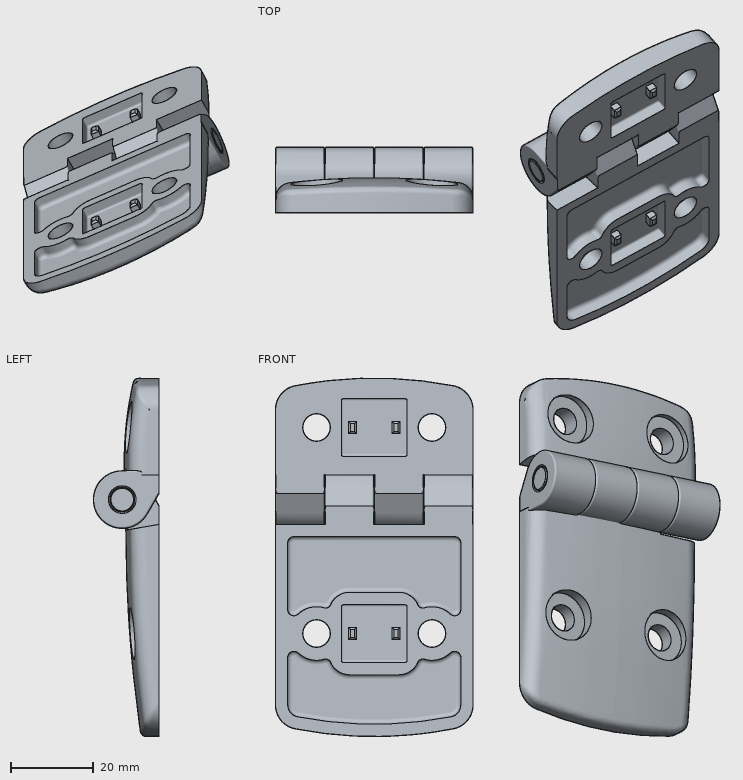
import cadquery as cq
import math

width = 48.0
half_width = width / 2
barrel_radius = 7.0
axis_height = 8.95
knuckle_count = 4
knuckle_pitch = width / knuckle_count
side_clearance = 0.1
knuckle_edge_round = 0.4
knuckle_face_end = 1.5
notch_start = 6.0
notch_slope = math.radians(10)

pin_diameter = 6.0
pin_chamfer = 0.25
bore_chamfer = 0.35

upper_length = 29.5
lower_length = 57.5
upper_hole_distance = 17.5
lower_hole_distance = 32.5
end_radius = 100.0
corner_radius = 6.0
crown_radius = 180.0
side_round = 4.0
end_round = 1.5
upper_back = dict(peak=8.5, start=9.0, radius=87.0)
lower_back = dict(peak=8.1, start=7.0, radius=345.0)
cut_depth = 20.0
blank_depth = 14.0
blank_angle = 60.0

hole_spacing = 28.0
hole_diameter = 6.6
counterbore_diameter = 12.5
upper_seat_height = 5.0
lower_seat_height = 4.0

socket_width = 16.0
socket_height = 14.0
socket_depth = 2.8
socket_round = 0.55
rib_spacing = 10.5
rib_width = 2.0
rib_height = 3.0
rib_rise = 2.2
rib_chamfer = 0.5

rim = 3.0
hollow_depth = 3.0
hollow_floor_round = 1.1
hollow_corner_round = 1.5
cusp_round = 1.3
island_corner = 5.0
screw_boss_radius = 6.5


def front_plane(y=0.0):
    """Workplane facing -Y: local x is X, local y is Z, and extrusion by a negative value goes to +Y."""
    return cq.Workplane("XZ", origin=(0, y, 0))


def bowed_outline(half, start, crest, bow, corner):
    """Plan outline with straight sides, a square start and a bowed end with rounded corners."""
    bow_center = crest - bow
    corner_x = half - corner
    corner_z = bow_center + math.sqrt((bow - corner) ** 2 - corner_x ** 2)
    lean = math.atan2(corner_x, corner_z - bow_center)
    end_x = bow * math.sin(lean)
    end_z = bow_center + bow * math.cos(lean)
    turn = (lean + math.pi / 2) / 2
    mid_x = corner_x + corner * math.sin(turn)
    mid_z = corner_z + corner * math.cos(turn)
    return (
        front_plane()
        .moveTo(-half, start)
        .lineTo(half, start)
        .lineTo(half, corner_z)
        .threePointArc((mid_x, mid_z), (end_x, end_z))
        .threePointArc((0, crest), (-end_x, end_z))
        .threePointArc((-mid_x, mid_z), (-half, corner_z))
        .close()
    )


def crowned_blank(back):
    """Bar with a crowned, edge-rounded back, swept along the arc of the leaf's back."""
    peak = back["peak"]
    crown_center = peak - crown_radius
    round_x = half_width - side_round
    round_y = crown_center + math.sqrt((crown_radius - side_round) ** 2 - round_x ** 2)
    lean = math.atan2(round_x, round_y - crown_center)
    crown_x = crown_radius * math.sin(lean)
    crown_y = crown_center + crown_radius * math.cos(lean)
    turn = (lean + math.pi / 2) / 2
    mid_x = round_x + side_round * math.sin(turn)
    mid_y = round_y + side_round * math.cos(turn)
    sweep_center = peak - back["radius"]
    axis_start = (0, sweep_center, back["start"])
    axis_end = (1, sweep_center, back["start"])
    return (
        cq.Workplane("XY", origin=(0, 0, back["start"]))
        .moveTo(-half_width, peak - blank_depth)
        .lineTo(half_width, peak - blank_depth)
        .lineTo(half_width, round_y)
        .threePointArc((mid_x, mid_y), (crown_x, crown_y))
        .threePointArc((0, peak), (-crown_x, crown_y))
        .threePointArc((-mid_x, mid_y), (-half_width, round_y))
        .close()
        .revolve(blank_angle, (0, sweep_center, 0), (1, sweep_center, 0))
        .rotate(axis_start, axis_end, -blank_angle / 2)
    )


def leaf_plate(length, back):
    """Leaf without knuckles: bowed outline, crowned back and a rounded back edge at the end."""
    plate = (
        bowed_outline(half_width, notch_start, length, end_radius, corner_radius)
        .extrude(-cut_depth)
        .intersect(crowned_blank(back))
    )
    bow_start = length - corner_radius
    end_zone = cq.selectors.BoxSelector(
        (-half_width, end_round, bow_start), (half_width, cut_depth, length)
    )
    return plate.edges(end_zone).edges("not #Z").fillet(end_round)


def column_center(column):
    return -half_width + (column + 0.5) * knuckle_pitch


def knuckle(column):
    """Barrel segment joined to the leaf by a flat tangent to the barrel."""
    reach = math.hypot(axis_height, knuckle_face_end)
    tangent_angle = math.atan2(knuckle_face_end, axis_height) - math.acos(barrel_radius / reach)
    tangent_y = axis_height - barrel_radius * math.cos(tangent_angle)
    tangent_z = barrel_radius * math.sin(tangent_angle)
    length = knuckle_pitch - 2 * side_clearance
    start = column_center(column) - length / 2
    segment = (
        cq.Workplane("YZ", origin=(start, 0, 0))
        .moveTo(0, barrel_radius)
        .lineTo(0, knuckle_face_end)
        .lineTo(tangent_y, tangent_z)
        .threePointArc((axis_height + barrel_radius, 0), (axis_height, barrel_radius))
        .close()
        .extrude(length)
    )
    return segment.faces("<X or >X").edges("%CIRCLE").fillet(knuckle_edge_round)


def notch(column):
    """Clearance for the other leaf's knuckle, with a slightly sloped wall."""
    left = column_center(column) - knuckle_pitch / 2 - side_clearance
    rise = cut_depth * math.tan(notch_slope)
    return (
        cq.Workplane("YZ", origin=(left, 0, 0))
        .moveTo(0, 0)
        .lineTo(0, notch_start)
        .lineTo(cut_depth, notch_start + rise)
        .lineTo(cut_depth, 0)
        .close()
        .extrude(knuckle_pitch + 2 * side_clearance)
    )


def pin_bore():
    """Bore along the hinge axis, chamfered at both outer ends of the barrel."""
    mouth = pin_diameter / 2 + bore_chamfer
    bore = cq.Workplane("YZ", origin=(-half_width, axis_height, 0)).circle(pin_diameter / 2).extrude(width)
    for side in (-1, 1):
        cone = cq.Solid.makeCone(
            mouth,
            mouth - 2 * bore_chamfer,
            2 * bore_chamfer,
            cq.Vector(side * (half_width - side_clearance), axis_height, 0),
            cq.Vector(-side, 0, 0),
        )
        bore = bore.union(cq.Workplane(obj=cone))
    return bore


def screw_holes(distance, seat_height):
    """Pair of counterbored through holes, with the counterbores opening on the back."""
    places = [(-hole_spacing / 2, distance), (hole_spacing / 2, distance)]
    holes = front_plane().pushPoints(places).circle(hole_diameter / 2).extrude(-cut_depth)
    counterbores = (
        front_plane(seat_height).pushPoints(places).circle(counterbore_diameter / 2).extrude(-cut_depth)
    )
    return holes.union(counterbores)


def socket(distance):
    """Square socket in the mounting face, less the two ribs that stand on its floor."""
    pocket = (
        front_plane()
        .center(0, distance)
        .rect(socket_width, socket_height)
        .extrude(-socket_depth)
        .edges("|Y or >Y")
        .fillet(socket_round)
    )
    ribs = (
        front_plane(socket_depth - rib_rise)
        .center(0, distance)
        .rarray(rib_spacing, 1, 2, 1)
        .rect(rib_width, rib_height)
        .extrude(-rib_rise)
        .faces("<Y")
        .chamfer(rib_chamfer)
    )
    return pocket.cut(ribs)


def hollow_island(distance):
    """Full-depth land that carries the socket and the screw holes across the hollow."""
    boss_x = hole_spacing / 2
    wall_x = half_width - rim
    corner_x = wall_x - hollow_corner_round
    corner_z = math.sqrt((screw_boss_radius + hollow_corner_round) ** 2 - (corner_x - boss_x) ** 2)
    island = (
        front_plane()
        .rect(socket_width + 2 * rim, socket_height + 2 * rim)
        .extrude(-hollow_depth)
        .edges("|Y")
        .fillet(island_corner)
    )
    bosses = (
        front_plane()
        .pushPoints([(-boss_x, 0), (boss_x, 0)])
        .circle(screw_boss_radius)
        .extrude(-hollow_depth)
    )
    island = island.union(bosses)
    cusp_zone_x = boss_x - screw_boss_radius
    for side in (-1, 1):
        cusps = cq.selectors.BoxSelector(
            (side * cusp_zone_x, 0, -socket_height),
            (side * boss_x, hollow_depth, socket_height),
        )
        island = island.edges("|Y").edges(cusps).fillet(cusp_round)
    for side in (-1, 1):
        web = (
            front_plane()
            .moveTo(side * boss_x, 0)
            .lineTo(side * corner_x, corner_z)
            .lineTo(side * wall_x, corner_z)
            .lineTo(side * wall_x, -corner_z)
            .lineTo(side * corner_x, -corner_z)
            .close()
            .extrude(-hollow_depth)
        )
        rounds = (
            front_plane()
            .pushPoints([(side * corner_x, corner_z), (side * corner_x, -corner_z)])
            .circle(hollow_corner_round)
            .extrude(-hollow_depth)
        )
        island = island.union(web.cut(rounds))
    return island.translate((0, 0, distance))


def hollow():
    """Two shallow hollows that follow the outline of the long leaf, split by the island."""
    return (
        bowed_outline(
            half_width - rim,
            notch_start + rim,
            lower_length - rim,
            end_radius - rim,
            corner_radius - rim,
        )
        .extrude(-hollow_depth)
        .edges("|Y and <Z")
        .fillet(hollow_corner_round)
        .cut(hollow_island(lower_hole_distance))
        .faces(">Y")
        .edges()
        .fillet(hollow_floor_round)
    )


def leaf(length, back, hole_distance, seat_height, first_column):
    """Leaf that extends toward +Z, with knuckles in every second column from first_column."""
    body = leaf_plate(length, back)
    for column in range(knuckle_count):
        if column % 2 != first_column:
            body = body.cut(notch(column))
    for column in range(first_column, knuckle_count, 2):
        body = body.union(knuckle(column))
    body = body.cut(pin_bore())
    body = body.cut(screw_holes(hole_distance, seat_height))
    return body.cut(socket(hole_distance))


upper_leaf = leaf(upper_length, upper_back, upper_hole_distance, upper_seat_height, 0)

lower_leaf = (
    leaf(lower_length, lower_back, lower_hole_distance, lower_seat_height, 1)
    .cut(hollow())
    .mirror("XY")
)

pin = (
    cq.Workplane("YZ", origin=(-half_width, axis_height, 0))
    .circle(pin_diameter / 2)
    .extrude(width)
    .faces("<X or >X")
    .chamfer(pin_chamfer)
)

result = cq.Compound.makeCompound([upper_leaf.val(), lower_leaf.val(), pin.val()])